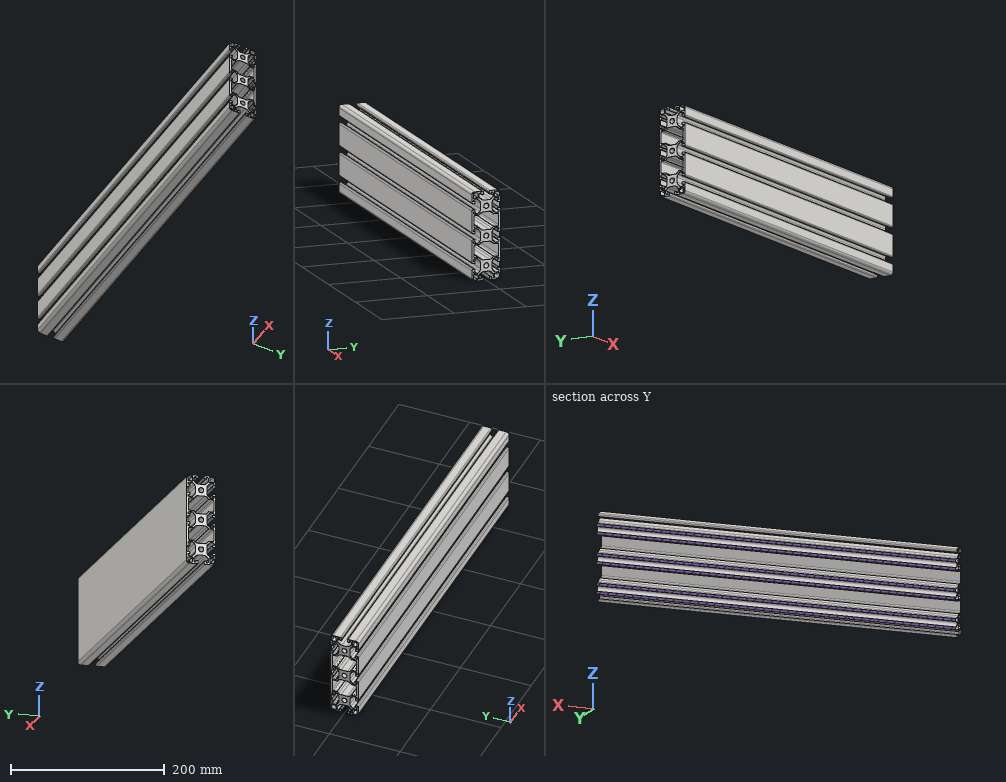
import cadquery as cq
length = 500.0
module = 40.0
module_count = 3
depth = module
height = module * module_count
outer_radius = 4.0

slot_half = 4.05
mouth_radius = 1.5
lip_half = 7.1
lip_depth = 4.5
flange_depth = 2.2
cavity_radius = 2.8
lip_edge_radius = 0.8
cavity_half = 10.1
closed_web = 1.8

core_half = 7.9
leg_offset = 2.4
chamber_leg_offset = 1.4
floor_radius = 5.0
chamber_floor_radius = 5.0
wall = 1.5
bore_diameter = 6.8
plate_thickness = 3.0
chamber_radius = 1.5
corner_skin = 1.85
corner_hollow_radius = 2.0

edge_tolerance = 0.1

module_half = module / 2
core_flat_half = core_half - leg_offset
chamber_flat_half = core_half - chamber_leg_offset
module_centers = [(i - (module_count - 1) / 2) * module for i in range(module_count)]


def extrude_outline(points):
    """Extrude a closed (Y, Z) outline over the full length along X."""
    return cq.Workplane("YZ", origin=(-length / 2, 0, 0)).polyline(points).close().extrude(length)


def round_edges(solid, corners, radius):
    """Fillet the lengthwise edges that pass through the given (Y, Z) corners."""
    for y, z in corners:
        near_corner = cq.selectors.BoxSelector(
            (-length, y - edge_tolerance, z - edge_tolerance),
            (length, y + edge_tolerance, z + edge_tolerance),
        )
        solid = solid.edges("|X").edges(near_corner).fillet(radius)
    return solid


def slot_cutter(mouth_skin):
    """Slot opening toward +Z of a module centred on the axis; mouth_skin is left uncut at the mouth."""
    flange_level = module_half - flange_depth
    lip_level = module_half - lip_depth
    right_side = [
        (slot_half, module_half - mouth_skin),
        (slot_half, lip_level),
        (lip_half, lip_level),
        (lip_half, flange_level),
        (cavity_half, flange_level),
        (cavity_half, cavity_half + leg_offset),
        (core_flat_half, core_half),
    ]
    left_side = [(-y, z) for y, z in reversed(right_side)]
    cutter = extrude_outline(right_side + left_side)
    for side in (-1, 1):
        cutter = round_edges(cutter, [(side * core_flat_half, core_half)], floor_radius)
        cutter = round_edges(cutter, [(side * cavity_half, flange_level)], cavity_radius)
        lip_edges = [(side * slot_half, lip_level), (side * lip_half, lip_level)]
        cutter = round_edges(cutter, lip_edges, lip_edge_radius)
    return cutter


def place_slot(cutter, turn, center_z):
    """Turn a +Z slot about X, then move it to the module at center_z."""
    return cutter.rotate((0, 0, 0), (1, 0, 0), turn).translate((0, 0, center_z))


def chamber_cutter(lower_center, upper_center):
    """Large hollow between the cores of two neighbouring modules."""
    side = module_half - plate_thickness
    wall_offset = cavity_half + wall
    leg_end = wall_offset - chamber_leg_offset
    upper = [
        (side, upper_center - wall_offset),
        (leg_end, upper_center - wall_offset),
        (chamber_flat_half, upper_center - core_half),
    ]
    upper += [(-y, z) for y, z in reversed(upper)]
    middle = (lower_center + upper_center) / 2
    lower = [(y, 2 * middle - z) for y, z in reversed(upper)]
    hollow = extrude_outline(upper + lower)
    floor_corners = [
        (y, z)
        for y in (-chamber_flat_half, chamber_flat_half)
        for z in (lower_center + core_half, upper_center - core_half)
    ]
    hollow = round_edges(hollow, floor_corners, chamber_floor_radius)
    return hollow.edges("|X and (<Y or >Y)").fillet(chamber_radius)


def corner_hollow_cutter(y_sign, z_sign):
    """Small hollow in one outer corner of the profile, rounded at its outermost edge."""
    inner = cavity_half + wall
    outer = module_half - corner_skin
    end_center = module_centers[-1]
    low = end_center + inner
    high = end_center + outer
    hollow = extrude_outline([(inner, low), (outer, low), (outer, high), (inner, high)])
    hollow = round_edges(hollow, [(outer, high)], corner_hollow_radius)
    if y_sign < 0:
        hollow = hollow.mirror("XZ")
    if z_sign < 0:
        hollow = hollow.mirror("XY")
    return hollow


def bore_cutter(center_z):
    """Round bore through the core of one module."""
    start = cq.Workplane("YZ", origin=(-length / 2, 0, center_z))
    return start.circle(bore_diameter / 2).extrude(length)


def round_mouths(profile):
    """Round the outer edges of every open slot mouth."""
    mouths = [(-depth / 2, z + s * slot_half) for z in module_centers for s in (-1, 1)]
    mouths += [(s * slot_half, t * height / 2) for s in (-1, 1) for t in (-1, 1)]
    return round_edges(profile, mouths, mouth_radius)


body = cq.Workplane("XY").box(length, depth, height).edges("|X").fillet(outer_radius)

open_slot = slot_cutter(0)
closed_slot = slot_cutter(closed_web)
for center_z in module_centers:
    body = body.cut(place_slot(open_slot, 90, center_z))
    body = body.cut(place_slot(closed_slot, -90, center_z))
body = body.cut(place_slot(open_slot, 0, module_centers[-1]))
body = body.cut(place_slot(open_slot, 180, module_centers[0]))

for lower_center, upper_center in zip(module_centers, module_centers[1:]):
    body = body.cut(chamber_cutter(lower_center, upper_center))

for y_sign in (-1, 1):
    for z_sign in (-1, 1):
        body = body.cut(corner_hollow_cutter(y_sign, z_sign))

for center_z in module_centers:
    body = body.cut(bore_cutter(center_z))

result = round_mouths(body)